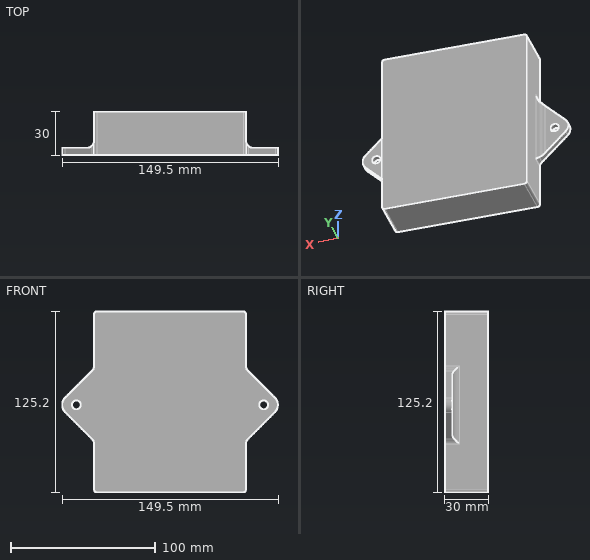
import cadquery as cq
import math

body_width = 105.2
body_depth = 30.0
body_height = 125.2
body_corner_radius = 2.0

overall_width = 149.5
ear_thickness = 5.1
ear_center_z = -2.1
ear_tip_radius = 7.0
root_fillet_radius = 5.0
hole_spacing = 129.5
hole_diameter = 6.0

side_x = body_width / 2
front_y = -body_depth / 2
ear_back_y = front_y + ear_thickness

ear_apex_x = overall_width / 2 + ear_tip_radius * (math.sqrt(2) - 1)
ear_root_half_height = ear_apex_x - side_x
root_half_height = ear_root_half_height + root_fillet_radius


def make_body():
    block = cq.Workplane("XY").box(body_width, body_depth, body_height)
    return block.edges("|Y").fillet(body_corner_radius)


def make_ear_outline():
    """Pointed outline of the right ear, rounded at the tip and where it leaves the body."""
    prism = (
        cq.Workplane("XZ", origin=(0, front_y, ear_center_z))
        .moveTo(0, -root_half_height)
        .lineTo(side_x, -root_half_height)
        .lineTo(side_x, -ear_root_half_height)
        .lineTo(ear_apex_x, 0)
        .lineTo(side_x, ear_root_half_height)
        .lineTo(side_x, root_half_height)
        .lineTo(0, root_half_height)
        .close()
        .extrude(-body_depth)
    )
    prism = prism.edges("|Y and >X").fillet(ear_tip_radius)
    for root_z in (-ear_root_half_height, ear_root_half_height):
        root_point = (side_x, 0, ear_center_z + root_z)
        root_edge = cq.selectors.NearestToPointSelector(root_point)
        prism = prism.edges(root_edge).fillet(root_fillet_radius)
    return prism


def make_ear_section():
    """Flat plate seen from above, with a concave fillet rising onto the side of the body."""
    arc_center = (side_x + root_fillet_radius, ear_back_y + root_fillet_radius)
    arc_reach = root_fillet_radius / math.sqrt(2)
    arc_middle = (arc_center[0] - arc_reach, arc_center[1] - arc_reach)
    return (
        cq.Workplane("XY")
        .moveTo(0, front_y)
        .lineTo(ear_apex_x, front_y)
        .lineTo(ear_apex_x, ear_back_y)
        .lineTo(arc_center[0], ear_back_y)
        .threePointArc(arc_middle, (side_x, arc_center[1]))
        .lineTo(0, arc_center[1])
        .close()
        .extrude(body_height / 2, both=True)
    )


def make_mounting_holes():
    return (
        cq.Workplane("XZ", origin=(0, front_y, ear_center_z))
        .rarray(hole_spacing, 1.5, 2, 1)
        .circle(hole_diameter / 2)
        .extrude(-ear_thickness)
    )


right_ear = make_ear_outline().intersect(make_ear_section())
left_ear = right_ear.mirror("YZ")

result = make_body().union(right_ear).union(left_ear).cut(make_mounting_holes())